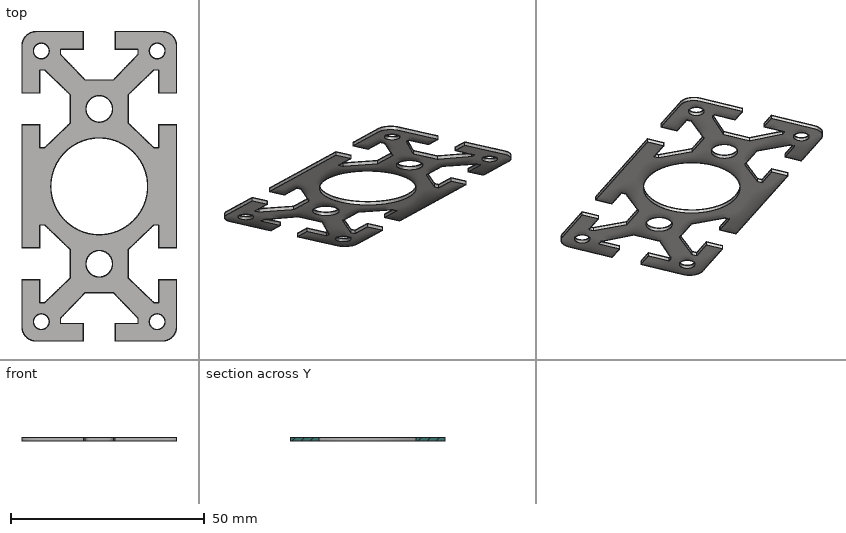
import cadquery as cq

width = 40.0
length = 80.0
thickness = 1.0
corner_radius = 3.8

cell_offset = length / 4
mouth_width = 8.2
lip_thickness = 4.6
chamber_width = 20.0
chamber_wall = 1.3
slot_depth = 12.5
floor_width = 7.4

center_bore_diameter = 25.0
core_hole_diameter = 6.8
corner_hole_diameter = 4.0
corner_hole_inset = 5.0


def t_slot(x, y, angle):
    """T-slot cutter whose mouth is centered at (x, y); at angle 0 it opens towards +Y."""
    mouth = mouth_width / 2
    chamber = chamber_width / 2
    floor = floor_width / 2
    right_half = [
        (mouth, 0),
        (mouth, -lip_thickness),
        (chamber, -lip_thickness),
        (chamber, -lip_thickness - chamber_wall),
        (floor, -slot_depth),
    ]
    left_half = [(-px, py) for px, py in reversed(right_half)]
    cutter = cq.Workplane("XY").polyline(right_half + left_half).close().extrude(thickness)
    return cutter.rotate((0, 0, 0), (0, 0, 1), angle).translate((x, y, 0))


result = cq.Workplane("XY").rect(width, length).extrude(thickness)
result = result.edges("|Z").fillet(corner_radius)

slot_mouths = [(0, length / 2, 0), (0, -length / 2, 180)]
for cell_y in (-cell_offset, cell_offset):
    slot_mouths += [(-width / 2, cell_y, 90), (width / 2, cell_y, -90)]
for mouth_x, mouth_y, angle in slot_mouths:
    result = result.cut(t_slot(mouth_x, mouth_y, angle))

top = result.faces(">Z").workplane(origin=(0, 0, thickness))
result = top.hole(center_bore_diameter)
result = (
    result.faces(">Z").workplane(origin=(0, 0, thickness))
    .pushPoints([(0, -cell_offset), (0, cell_offset)])
    .hole(core_hole_diameter)
)
result = (
    result.faces(">Z").workplane(origin=(0, 0, thickness))
    .rect(width - 2 * corner_hole_inset, length - 2 * corner_hole_inset, forConstruction=True)
    .vertices()
    .hole(corner_hole_diameter)
)